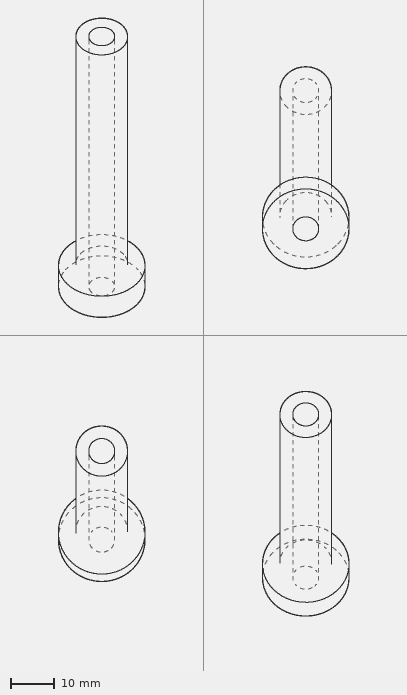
import cadquery as cq

total_length = 82.0
head_diameter = 20.0
head_height = 7.0
shank_diameter = 12.0
bore_diameter = 6.0
neck_fillet_radius = 0.5

head = cq.Workplane("XY").circle(head_diameter / 2).extrude(head_height)

shank = cq.Workplane("XY").circle(shank_diameter / 2).extrude(total_length)
body = head.union(shank)

neck_edge = cq.selectors.RadiusNthSelector(0)
body = body.faces("<Z[1]").edges(neck_edge).fillet(neck_fillet_radius)

bore = cq.Workplane("XY").circle(bore_diameter / 2).extrude(total_length)
result = body.cut(bore)